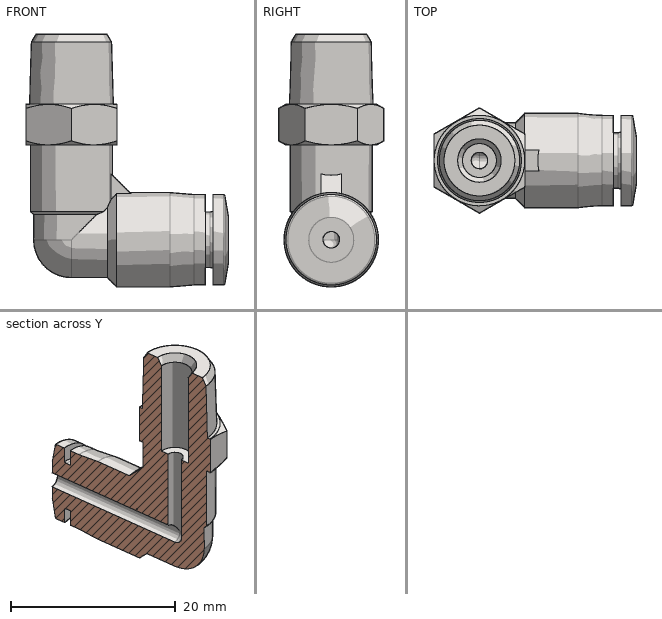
import cadquery as cq
import math

overall_length = 24.65
overall_height = 30.75
elbow_radius = 4.6

hex_across_flats = 11.1
hex_bottom = 11.5
hex_top = 16.48
hex_chamfer_diameter = 11.0
hex_chamfer_angle = 30.0
sleeve_diameter = 10.0
sleeve_bottom = 3.08
sleeve_chamfer = 0.37
thread_base_diameter = 10.2
thread_tip_diameter = 9.78
tip_face_diameter = 8.6
tip_chamfer_height = 0.98

socket_diameter = 11.5
socket_cone_start = 4.37
socket_taper_start = 11.95
socket_taper_end = 14.9
socket_end = 16.27
rim_diameter = 11.0

neck_diameter = 6.75
neck_flare_start = 16.85
neck_flare_diameter = 6.95
collar_start = 17.2
collar_edge = 18.45
collar_corner = 0.2
collar_face_diameter = 5.47

rib_width = 2.52
rib_top = 7.85

bore_diameter = 4.12
countersink_diameter = 5.3
countersink_depth = 0.98
bore_bottom = hex_bottom
passage_diameter = 2.0

top_z = overall_height - socket_diameter / 2
end_x = overall_length - hex_across_flats / 2


def revolve_about_z(points):
    """Revolve a closed outline of (radius, z) points about the stem axis."""
    return cq.Workplane("XZ").polyline(points).close().revolve(360, (0, 0), (0, 1))


def revolve_about_x(points):
    """Revolve a closed outline of (x, radius) points about the socket axis."""
    return cq.Workplane("XZ").polyline(points).close().revolve(360, (0, 0), (1, 0))


def make_rounded_elbow(radius, up, along):
    """Two crossing round bars joined by a ball at the origin."""
    upright = cq.Workplane("XY").circle(radius).extrude(up)
    level = cq.Workplane("YZ").circle(radius).extrude(along)
    ball = cq.Workplane("XY").sphere(radius)
    return ball.union(upright).union(level)


def make_stem():
    """Sleeve below the hexagon and tapered thread above it."""
    sleeve_radius = sleeve_diameter / 2
    return revolve_about_z([
        (0, sleeve_bottom),
        (sleeve_radius - sleeve_chamfer, sleeve_bottom),
        (sleeve_radius, sleeve_bottom + sleeve_chamfer),
        (sleeve_radius, hex_bottom),
        (thread_base_diameter / 2, hex_top),
        (thread_tip_diameter / 2, top_z - tip_chamfer_height),
        (tip_face_diameter / 2, top_z),
        (0, top_z),
    ])


def make_hexagon():
    """Hexagon with corners on +Y and -Y, its corners turned down at both ends."""
    corner_radius = hex_across_flats / 2 / math.cos(math.radians(30))
    face_radius = hex_chamfer_diameter / 2
    corner_drop = (corner_radius - face_radius) * math.tan(math.radians(hex_chamfer_angle))
    prism = (
        cq.Workplane("XY", origin=(0, 0, hex_bottom))
        .transformed(rotate=(0, 0, 90))
        .polygon(6, 2 * corner_radius)
        .extrude(hex_top - hex_bottom)
    )
    turned_blank = revolve_about_z([
        (0, hex_bottom),
        (face_radius, hex_bottom),
        (corner_radius, hex_bottom + corner_drop),
        (corner_radius, hex_top - corner_drop),
        (face_radius, hex_top),
        (0, hex_top),
    ])
    return prism.intersect(turned_blank)


def make_socket():
    """Socket body with a 45 degree back cone and a slight taper at the rim."""
    socket_radius = socket_diameter / 2
    return revolve_about_x([
        (socket_cone_start, 0),
        (socket_cone_start, elbow_radius),
        (socket_cone_start + socket_radius - elbow_radius, socket_radius),
        (socket_taper_start, socket_radius),
        (socket_taper_end, rim_diameter / 2),
        (socket_end, rim_diameter / 2),
        (socket_end, 0),
    ])


def make_collar():
    """Release collar on a flared neck, with a rounded edge and a conical face."""
    rim_radius = rim_diameter / 2
    outline = (
        cq.Workplane("XZ")
        .moveTo(socket_end, 0)
        .lineTo(socket_end, neck_diameter / 2)
        .lineTo(neck_flare_start, neck_diameter / 2)
        .lineTo(collar_start, neck_flare_diameter / 2)
        .lineTo(collar_start, rim_radius)
        .lineTo(collar_edge, rim_radius)
        .radiusArc((collar_edge + collar_corner, rim_radius - collar_corner), collar_corner)
        .lineTo(end_x, collar_face_diameter / 2)
        .lineTo(end_x, 0)
        .close()
    )
    return outline.revolve(360, (0, 0), (1, 0))


def make_rib():
    """Triangular rib with a 45 degree slope between the sleeve and the socket."""
    slope_end = sleeve_diameter / 2 + rib_top
    return (
        cq.Workplane("XZ")
        .polyline([(0, 0), (0, slope_end), (slope_end, 0)])
        .close()
        .extrude(rib_width / 2, both=True)
    )


def make_flow_passage():
    """Countersunk bore in the stem, then a narrow passage turning to the socket end."""
    bore_radius = bore_diameter / 2
    bore = revolve_about_z([
        (0, bore_bottom),
        (bore_radius, bore_bottom),
        (bore_radius, top_z - countersink_depth),
        (countersink_diameter / 2, top_z),
        (0, top_z),
    ])
    return make_rounded_elbow(passage_diameter / 2, bore_bottom, end_x).union(bore)


body = make_rounded_elbow(elbow_radius, sleeve_bottom, socket_cone_start)
for feature in (make_stem(), make_hexagon(), make_socket(), make_collar(), make_rib()):
    body = body.union(feature)

result = body.cut(make_flow_passage())